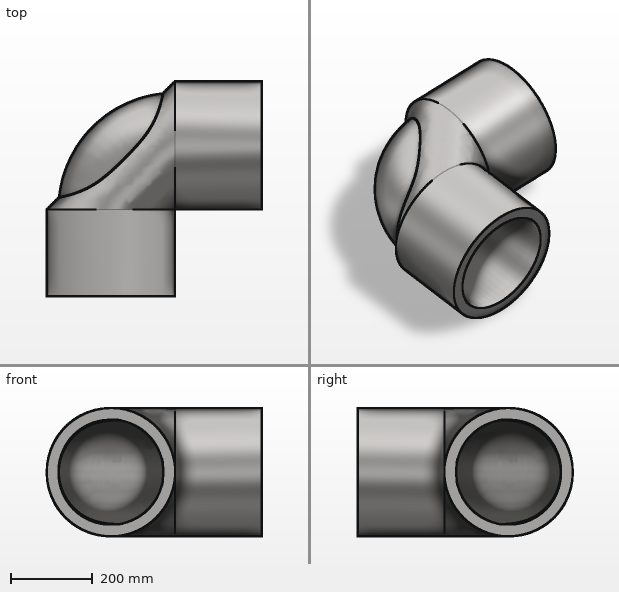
import math

import cadquery as cq

outer_diameter = 315.0
wall = 28.6
arm_length = 212.5
bulge_skin = 1.0

outer_radius = outer_diameter / 2
bore_radius = outer_radius - wall

corner_x = outer_radius
corner_y = -outer_radius
bend_radius = outer_radius
bend_angle = 90
link_angle = math.radians(45)


def straight_arms(radius):
    """Cylinders of the two arms: one opens toward +X, the other toward -Y."""
    arm_x_plane = cq.Plane(origin=(corner_x, 0, 0), xDir=(0, 0, 1), normal=(1, 0, 0))
    arm_y_plane = cq.Plane(origin=(0, corner_y, 0), xDir=(0, 0, 1), normal=(0, -1, 0))
    arm_x = cq.Workplane(arm_x_plane).circle(radius).extrude(arm_length)
    arm_y = cq.Workplane(arm_y_plane).circle(radius).extrude(arm_length)
    return arm_x.union(arm_y)


def diagonal_link(radius):
    """Oblique cylinder at 45 degrees that meets both arms in full circles of the given radius."""
    start = 2 * corner_y
    reach = 2 * outer_diameter
    section_plane = cq.Plane(
        origin=(start + corner_x, start, 0),
        xDir=(1, -1, 0),
        normal=(1, 1, 0),
    )
    half_width = radius * math.cos(link_angle)
    cylinder = cq.Workplane(section_plane).ellipse(half_width, radius).extrude(2 * reach)
    between_arms = cq.Workplane("XY").box(reach, reach, reach, centered=(False, False, True))
    return cylinder.intersect(between_arms.translate((corner_x - reach, corner_y, 0)))


def round_bend():
    """Quarter ring of the bore size, running from one arm to the other."""
    return (
        cq.Workplane("XZ", origin=(0, corner_y, 0))
        .circle(bore_radius)
        .revolve(bend_angle, (bend_radius, 0, 0), (bend_radius, -1, 0))
    )


body = straight_arms(outer_radius).union(diagonal_link(outer_radius)).union(round_bend())

bend_bore = round_bend().intersect(diagonal_link(outer_radius - bulge_skin))

result = body.cut(straight_arms(bore_radius)).cut(bend_bore)